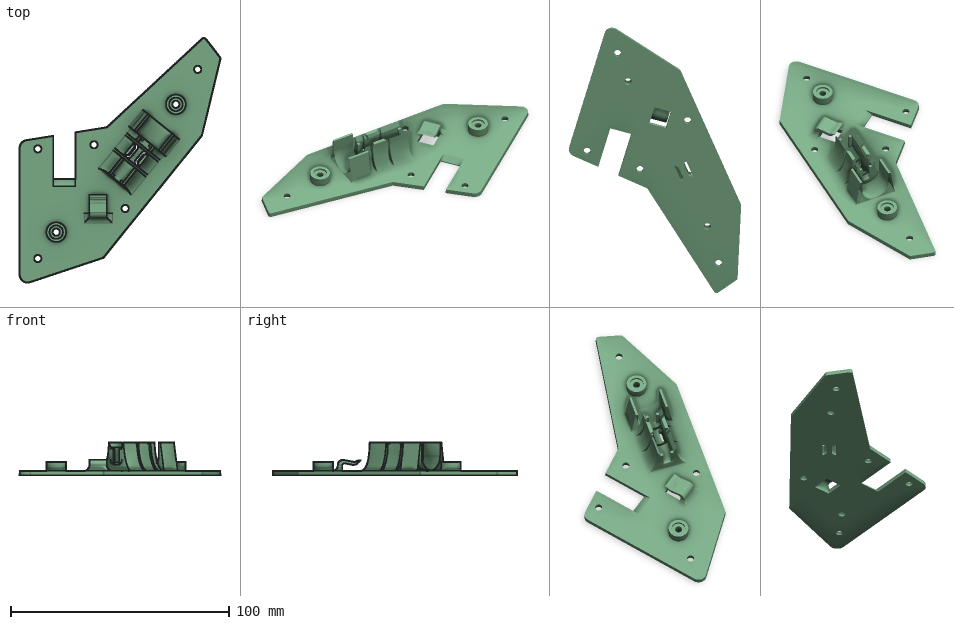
import cadquery as cq
import math

PLATE_T = 2.0
EDGE_DRAFT = 5.0
PLATE_CORNERS = [
    (0.0, -1.5, 3.7),
    (38.45, 11.3, 1.0),
    (83.6, 67.3, 1.0),
    (92.15, 102.75, 1.0),
    (84.6, 112.62, 1.3),
    (39.95, 71.15, 1.0),
    (0.0, 64.75, 3.7),
]
SCREW_HOLE_D = 3.2
SCREW_HOLES = [(8.4, 11.0), (8.4, 61.2), (34.15, 63.1), (48.4, 33.9), (81.6, 97.6)]

SLOT_LEFT = 15.5
SLOT_RIGHT = 25.65
SLOT_END_Y = 44.05
SLOT_OPEN_Y = 75.0
LIP_LENGTH = 3.4
LIP_EDGE_T = 0.5

BOSS_CENTRES = [(16.85, 23.1), (71.6, 81.6)]
BOSS_D = 9.0
BOSS_TOP = 6.1
BOSS_RECESS_D = 6.2
BOSS_RECESS_DEPTH = 1.0

HOOK_X = 36.0
HOOK_BACK_Y = 29.75
HOOK_W = 8.0
HOOK_POST_T = 2.1
HOOK_TIP_Y = 40.3
HOOK_TOP = 7.1
HOOK_BEND_R = 2.4
HOOK_DIP_START = (6.85, 6.3)
HOOK_DIP_MIDDLE = (7.6, 6.15)
HOOK_DIP_END = (8.35, 6.4)
HOOK_LIP_START = (9.25, 6.75)
HOOK_TIP_Z = 6.85
HOOK_BELLY_START = (8.65, 5.1)
HOOK_BELLY_MIDDLE = (7.45, 4.7)
HOOK_BELLY_END = (6.25, 4.8)
HOOK_THROAT_START = (3.75, 5.35)
HOOK_THROAT_MIDDLE = (2.6, 5.25)
HOOK_FLARE = 2.4
HOOK_BEND_Z = HOOK_TOP - HOOK_BEND_R
HOOK_FLARE_H = HOOK_BEND_Z - PLATE_T

HOLDER_ORIGIN = (44.3, 47.1)
HOLDER_ANGLE = 51.0
HOLDER_TOP = 15.03
SLIT_STARTS = [9.6, 18.45]
SLIT_W = 1.2
JAWS_END = 22.6
JAW_HALF_W = 4.45
JAW_FLARE = 5.2
END_FLARE = 1.1
END_FLARE_H = 5.1

CHANNEL_HALF_W = 3.15
CHANNEL_FLOOR = 4.7
CHANNEL_CORNER_Z = 6.0
LEAD_IN_HALF_W = 4.4
LEAD_IN_BOTTOM = 12.75
WEB_T = 1.2
WEB_TOP = 12.1
WEB_SLOT_W = 3.75

LATCH_FACE = 2.9
LATCH_NOSE = 2.35
LATCH_BOTTOM = 12.4
LATCH_FACE_BOTTOM = 13.4
LATCH_ROOT_BOTTOM = 11.4
LATCH_END_GAP = 0.5
RIB_HALF_W = 1.3
WINDOW_CORNER = 1.1

CRADLE_END = 32.55
CRADLE_BORE_R = 6.65
CRADLE_FLOOR = 2.3
CRADLE_TOP_HALF_W = 7.7
CRADLE_BASE_HALF_W = 9.65
CRADLE_FOOT_FLARE = 1.2
CRADLE_FOOT_H = 0.95

ARC_MIDDLE = 1 - math.sqrt(0.5)


def box(u_range, v_range, z_range):
    """Box between pairs of limits along local u (X), v (Y) and Z."""
    size = [b - a for a, b in (u_range, v_range, z_range)]
    corner = [r[0] for r in (u_range, v_range, z_range)]
    return cq.Workplane("XY").box(*size, centered=False).translate(tuple(corner))


def place(shape, origin, angle):
    """Turn a local shape so that u points along angle, then move it to origin."""
    return shape.rotate((0, 0, 0), (0, 0, 1), angle).translate((origin[0], origin[1], 0))


def in_holder(shape):
    """Move a shape from holder coordinates onto the plate."""
    return place(shape, HOLDER_ORIGIN, HOLDER_ANGLE)


def across(u_start):
    """Sketch plane with coordinates (v, z) whose extrusions run along +u from u_start."""
    return cq.Workplane("YZ", origin=(u_start, 0, 0))


def flared_block(length, half_w, top, side_flare, side_h, end_flare, end_h):
    """Block along u whose two sides and u = 0 end sweep out to the plate in quarter ellipses."""
    reach = half_w + side_flare
    block = box((-end_flare, length), (-reach, reach), (PLATE_T, top))
    for side in (-1, 1):
        hollow = (
            across(-end_flare)
            .center(side * reach, PLATE_T + side_h)
            .ellipse(side_flare, side_h)
            .extrude(length + end_flare)
        )
        block = block.cut(hollow)
    hollow = (
        cq.Workplane("XZ", origin=(-end_flare, reach, PLATE_T + end_h))
        .ellipse(end_flare, end_h)
        .extrude(2 * reach)
    )
    block = block.cut(hollow)
    flare_top = PLATE_T + end_h
    if top > flare_top:
        block = block.cut(box((-end_flare, 0), (-reach, reach), (flare_top, top)))
    return block


def make_plate():
    outline = [(x, y) for x, y, _ in PLATE_CORNERS]
    blank = cq.Workplane("XY").polyline(outline).close().extrude(PLATE_T)
    for x, y, radius in PLATE_CORNERS:
        corner = cq.NearestToPointSelector((x, y, PLATE_T / 2))
        blank = blank.edges(corner).fillet(radius)
    plate = blank.faces("<Z").wires().toPending().extrude(PLATE_T, combine=False, taper=EDGE_DRAFT)
    slot_w = SLOT_RIGHT - SLOT_LEFT
    lip_y = SLOT_END_Y + LIP_LENGTH
    slot = (
        cq.Workplane("YZ", origin=(SLOT_LEFT, 0, 0))
        .polyline([
            (SLOT_END_Y, PLATE_T), (lip_y, LIP_EDGE_T), (lip_y, 0),
            (SLOT_OPEN_Y, 0), (SLOT_OPEN_Y, PLATE_T),
        ])
        .close()
        .extrude(slot_w)
    )
    return plate.cut(slot)


def make_bosses():
    height = BOSS_TOP - PLATE_T
    bosses = cq.Workplane("XY", origin=(0, 0, PLATE_T)).pushPoints(BOSS_CENTRES).circle(BOSS_D / 2)
    bosses = bosses.extrude(height)
    recess = cq.Workplane("XY", origin=(0, 0, BOSS_TOP)).pushPoints(BOSS_CENTRES)
    return bosses.cut(recess.circle(BOSS_RECESS_D / 2).extrude(-BOSS_RECESS_DEPTH))


def make_hook():
    """Hook with u running from its back towards its tip."""
    tip = HOOK_TIP_Y - HOOK_BACK_Y
    bend_mid = HOOK_BEND_R * ARC_MIDDLE
    arm = (
        cq.Workplane("XZ", origin=(0, HOOK_W / 2, 0))
        .moveTo(0, PLATE_T)
        .lineTo(0, HOOK_BEND_Z)
        .threePointArc((bend_mid, HOOK_TOP - bend_mid), (HOOK_BEND_R, HOOK_TOP))
        .lineTo(*HOOK_DIP_START)
        .threePointArc(HOOK_DIP_MIDDLE, HOOK_DIP_END)
        .lineTo(*HOOK_LIP_START)
        .lineTo(tip, HOOK_TIP_Z)
        .lineTo(*HOOK_BELLY_START)
        .threePointArc(HOOK_BELLY_MIDDLE, HOOK_BELLY_END)
        .lineTo(*HOOK_THROAT_START)
        .threePointArc(HOOK_THROAT_MIDDLE, (HOOK_POST_T, HOOK_BEND_Z))
        .lineTo(HOOK_POST_T, PLATE_T)
        .close()
        .extrude(HOOK_W)
    )
    foot = flared_block(
        HOOK_POST_T, HOOK_W / 2, HOOK_BEND_Z,
        HOOK_FLARE, HOOK_FLARE_H, HOOK_FLARE, HOOK_FLARE_H,
    )
    return place(arm.union(foot), (HOOK_X, HOOK_BACK_Y), 90)


def hook_opening():
    """Opening through the plate under the hook's arm."""
    half_w = HOOK_W / 2
    opening = box((HOOK_POST_T, HOOK_TIP_Y - HOOK_BACK_Y), (-half_w, half_w), (0, PLATE_T))
    return place(opening, (HOOK_X, HOOK_BACK_Y), 90)


def channel(u_start, u_end):
    """Open-topped channel with a shallow round floor and a lead-in at the mouth."""
    w = CHANNEL_HALF_W
    return (
        across(u_start)
        .moveTo(-LEAD_IN_HALF_W, HOLDER_TOP)
        .lineTo(-w, LEAD_IN_BOTTOM)
        .lineTo(-w, CHANNEL_CORNER_Z)
        .threePointArc((0, CHANNEL_FLOOR), (w, CHANNEL_CORNER_Z))
        .lineTo(w, LEAD_IN_BOTTOM)
        .lineTo(LEAD_IN_HALF_W, HOLDER_TOP)
        .close()
        .extrude(u_end - u_start)
    )


def make_web(u_start):
    """Wall across the channel with a slot down its middle."""
    w = CHANNEL_HALF_W
    web = box((u_start, u_start + WEB_T), (-w, w), (CHANNEL_FLOOR, WEB_TOP))
    half_slot = WEB_SLOT_W / 2
    return web.cut(
        box((u_start, u_start + WEB_T), (-half_slot, half_slot), (CHANNEL_FLOOR, WEB_TOP))
    )


def make_latch(u_start, u_end, side):
    """Inward-facing nose at the top of one middle jaw, with bevelled ends."""
    root = JAW_HALF_W
    nose = (
        across(u_start)
        .polyline([
            (side * root, HOLDER_TOP), (side * LATCH_FACE, HOLDER_TOP),
            (side * LATCH_NOSE, LATCH_FACE_BOTTOM), (side * LATCH_NOSE, LATCH_BOTTOM),
            (side * root, LATCH_ROOT_BOTTOM),
        ])
        .close()
        .extrude(u_end - u_start)
    )
    bevel = (root - LATCH_NOSE) / 2
    plan = (
        cq.Workplane("XY")
        .polyline([
            (u_start, side * root), (u_start + bevel, side * LATCH_NOSE),
            (u_end - bevel, side * LATCH_NOSE), (u_end, side * root),
        ])
        .close()
        .extrude(HOLDER_TOP)
    )
    return nose.intersect(plan)


def make_jaws():
    """Three pairs of jaws along one channel, parted by two slits."""
    body = flared_block(
        JAWS_END, JAW_HALF_W, HOLDER_TOP,
        JAW_FLARE, HOLDER_TOP - PLATE_T, END_FLARE, END_FLARE_H,
    )
    jaws = body.cut(channel(-END_FLARE, JAWS_END))
    jaws = jaws.union(make_web(0)).union(make_web(JAWS_END - WEB_T))
    reach = JAW_HALF_W + JAW_FLARE
    for start in SLIT_STARTS:
        jaws = jaws.cut(box((start, start + SLIT_W), (-reach, reach), (PLATE_T, HOLDER_TOP)))
    return jaws


def middle_span():
    """Limits of the middle pair of jaws along u."""
    return SLIT_STARTS[0] + SLIT_W, SLIT_STARTS[1]


def make_latches():
    start, end = middle_span()
    start += LATCH_END_GAP
    end -= LATCH_END_GAP
    return make_latch(start, end, -1).union(make_latch(start, end, 1))


def latch_window(side):
    """Opening through the plate under a latch, with bevelled inner corners."""
    start, end = middle_span()
    w = CHANNEL_HALF_W
    shoulder = RIB_HALF_W + WINDOW_CORNER
    return (
        cq.Workplane("XY")
        .polyline([
            (start, side * w), (start, side * shoulder),
            (start + WINDOW_CORNER, side * RIB_HALF_W), (end - WINDOW_CORNER, side * RIB_HALF_W),
            (end, side * shoulder), (end, side * w),
        ])
        .close()
        .extrude(HOLDER_TOP)
    )


def make_cradle():
    """Saddle with tapering walls, an upright-sided bore and a small concave foot on each side."""
    length = CRADLE_END - JAWS_END
    foot_z = PLATE_T + CRADLE_FOOT_H
    foot_v = CRADLE_BASE_HALF_W + CRADLE_FOOT_FLARE
    foot_mid = (
        CRADLE_BASE_HALF_W + ARC_MIDDLE * CRADLE_FOOT_FLARE,
        PLATE_T + ARC_MIDDLE * CRADLE_FOOT_H,
    )
    half = (
        across(JAWS_END)
        .moveTo(0, HOLDER_TOP)
        .lineTo(CRADLE_TOP_HALF_W, HOLDER_TOP)
        .lineTo(CRADLE_BASE_HALF_W, foot_z)
        .threePointArc(foot_mid, (foot_v, PLATE_T))
        .lineTo(0, PLATE_T)
        .close()
        .extrude(length)
    )
    r = CRADLE_BORE_R
    bore_z = CRADLE_FLOOR + r
    bore = (
        across(JAWS_END)
        .moveTo(-r, HOLDER_TOP)
        .lineTo(-r, bore_z)
        .threePointArc((0, CRADLE_FLOOR), (r, bore_z))
        .lineTo(r, HOLDER_TOP)
        .close()
        .extrude(length)
    )
    return half.union(half.mirror("XZ")).cut(bore)


part = make_plate().union(make_bosses())
part = part.cut(hook_opening()).union(make_hook())
part = part.union(in_holder(make_jaws())).union(in_holder(make_cradle()))
for side in (-1, 1):
    part = part.cut(in_holder(latch_window(side)))
part = part.union(in_holder(make_latches()))
all_holes = SCREW_HOLES + BOSS_CENTRES
part = part.cut(cq.Workplane("XY").pushPoints(all_holes).circle(SCREW_HOLE_D / 2).extrude(BOSS_TOP))
result = part